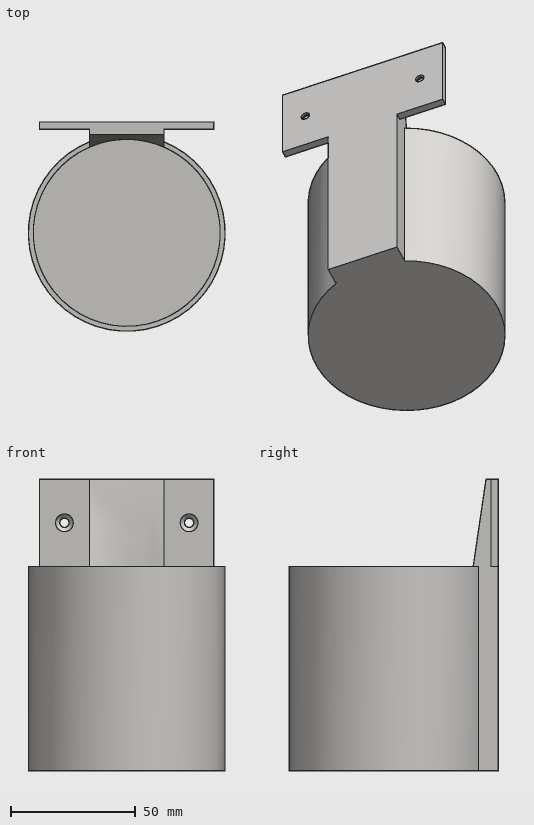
import cadquery as cq
import math

inner_diameter = 75.0
wall = 2.0
floor_thickness = 2.0
cup_height = 82.0
inner_radius = inner_diameter / 2
outer_radius = inner_radius + wall

spine_width = 30.0
wall_gap = 5.0
half_spine = spine_width / 2
back_y = outer_radius + wall_gap

wing_width = 20.0
plate_width = spine_width + 2 * wing_width
plate_height = 35.0
plate_thickness = 3.0
plate_front_y = back_y - plate_thickness

brace_top_depth = 5.0
brace_top_y = back_y - brace_top_depth

screw_spacing = spine_width + wing_width
screw_diameter = 3.61
countersink_diameter = 7.1
countersink_angle = 82.0
screw_z = cup_height + plate_height / 2


def box_from_back(width, depth, height, bottom_z):
    """Box centred on X whose rear face lies on the wall plane."""
    return (
        cq.Workplane("XY")
        .box(width, depth, height, centered=(True, False, False))
        .translate((0, back_y - depth, bottom_z))
    )


def make_cup_and_spine():
    cup = cq.Workplane("XY").circle(outer_radius).extrude(cup_height)
    spine = box_from_back(spine_width, back_y, cup_height, 0)
    bore = (
        cq.Workplane("XY")
        .workplane(offset=floor_thickness)
        .circle(inner_radius)
        .extrude(cup_height)
    )
    return cup.union(spine).cut(bore)


def make_plate():
    plate = box_from_back(plate_width, plate_thickness, plate_height, cup_height)
    screw_points = [(-screw_spacing / 2, screw_z), (screw_spacing / 2, screw_z)]
    return (
        plate.faces("<Y")
        .workplane(origin=(0, plate_front_y, 0))
        .pushPoints(screw_points)
        .cskHole(screw_diameter, countersink_diameter, countersink_angle)
    )


def brace_outline(z, front_edge):
    """Closed outline at height z: three straight sides plus the given front edge."""
    front_left = front_edge.startPoint()
    front_right = front_edge.endPoint()
    rear_left = cq.Vector(-half_spine, plate_front_y, z)
    rear_right = cq.Vector(half_spine, plate_front_y, z)
    return cq.Wire.assembleEdges([
        front_edge,
        cq.Edge.makeLine(front_right, rear_right),
        cq.Edge.makeLine(rear_right, rear_left),
        cq.Edge.makeLine(rear_left, front_left),
    ])


def make_brace():
    top_z = cup_height + plate_height
    arc_end_y = math.sqrt(inner_radius**2 - half_spine**2)
    bore_arc = cq.Edge.makeThreePointArc(
        cq.Vector(-half_spine, arc_end_y, cup_height),
        cq.Vector(0, inner_radius, cup_height),
        cq.Vector(half_spine, arc_end_y, cup_height),
    )
    top_line = cq.Edge.makeLine(
        cq.Vector(-half_spine, brace_top_y, top_z),
        cq.Vector(half_spine, brace_top_y, top_z),
    )
    bottom = brace_outline(cup_height, bore_arc)
    top = brace_outline(top_z, top_line)
    return cq.Workplane(cq.Solid.makeLoft([bottom, top], True))


result = make_cup_and_spine().union(make_plate()).union(make_brace())